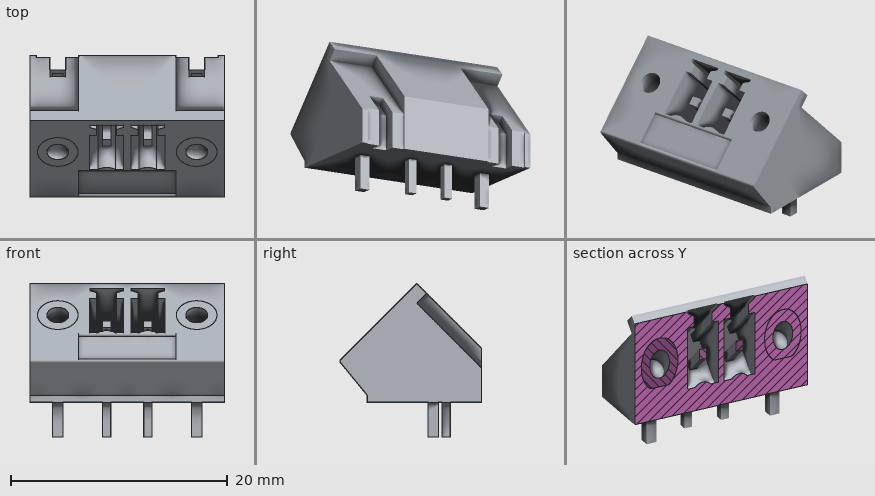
import cadquery as cq
import math


WIDTH = 18.01
HEIGHT = 11.0
REAR_Y = 3.28
REAR_HEIGHT = 5.0
FOOT_FRONT_Y = -7.3
FOOT_HEIGHT = 0.66
FACE_LENGTH = 10.14
EDGE_RADIUS = 0.2
SIN45 = math.sqrt(0.5)
RIDGE_Y = REAR_Y - (HEIGHT - REAR_HEIGHT)

CENTRE_WIDTH = 9.0
FLANGE_WIDTH = (WIDTH - CENTRE_WIDTH) / 2
FLANGE_CENTRE = (CENTRE_WIDTH + FLANGE_WIDTH) / 2
FLANGE_X = 6.415
FLANGE_DROP = 1.28
RIDGE_LAND = 1.3
END_WALL = 0.6
REAR_RELIEF = 0.2
NOTCH_WIDTH = 1.46
NOTCH_START = 7.0
NOTCH_STEP = 8.77
NOTCH_FLOOR = 2.17

PITCH = 3.81
CAVITY_DEPTH = 6.5
CAVITY_WIDTH = 3.16
HEAD_WIDTH = 3.1
NECK_WIDTH = 1.86
HEAD_TOP = 0.68
HEAD_SIDE_END = 0.93
HEAD_TAPER_END = 1.22
BODY_TOP = 2.0
CAVITY_BOTTOM = 6.44
RIB_WIDTH = 1.6
RIB_HEIGHT = 0.28

RECESS_START = 6.53

AXIS_DOWN = 4.14
PIN_LENGTH = 3.2
CONTACT_SIZE = 0.8
CONTACT_TIP_DEPTH = 1.2
NUT_DIAMETER = 3.75
NUT_LENGTH = 5.0
SCREW_HOLE_DIAMETER = 2.0
FIXING_PIN_SIZE = 1.0
FIXING_PIN_Y = -1.19
FIXING_PIN_LEG_DEPTH = 7.81

POLE_X = [-PITCH / 2, PITCH / 2]
SIDES = [-1, 1]


def side_point(down, depth):
    """(Y, Z) of a point given by distance down the mating face and depth into it."""
    return (RIDGE_Y + (depth - down) * SIN45, HEIGHT - (depth + down) * SIN45)


def face_plane(x):
    """Plane on the mating face: local X is X, local Y runs up the slope, origin on the ridge."""
    return cq.Plane(origin=(x, RIDGE_Y, HEIGHT), xDir=(1, 0, 0), normal=(0, -1, 1))


def side_prism(outline, x_centre, width):
    """Prism along X from a closed list of (Y, Z) points."""
    prism = cq.Workplane("YZ").polyline(outline).close().extrude(width / 2, both=True)
    return prism.translate((x_centre, 0, 0))


def make_wedge(recessed, x_centre, width):
    """Slice of the housing wedge; a recessed slice has its mating face set back behind a round lip."""
    nose_y, nose_z = side_point(FACE_LENGTH, 0)
    undercut_angle = math.atan2(nose_z - FOOT_HEIGHT, FOOT_FRONT_Y - nose_y)
    half_angle = (math.radians(45) + undercut_angle) / 2
    tangent_length = EDGE_RADIUS / math.tan(half_angle)
    lower_tangent = (
        nose_y + tangent_length * math.cos(undercut_angle),
        nose_z - tangent_length * math.sin(undercut_angle),
    )
    round_down = FACE_LENGTH - tangent_length
    round_y, round_z = side_point(round_down, EDGE_RADIUS)
    nose_scale = EDGE_RADIUS / math.hypot(nose_y - round_y, nose_z - round_z)
    nose_tip = (
        round_y + (nose_y - round_y) * nose_scale,
        round_z + (nose_z - round_z) * nose_scale,
    )
    outline = (
        cq.Workplane("YZ")
        .moveTo(REAR_Y, REAR_HEIGHT)
        .lineTo(REAR_Y, 0)
        .lineTo(FOOT_FRONT_Y, 0)
        .lineTo(FOOT_FRONT_Y, FOOT_HEIGHT)
        .lineTo(*lower_tangent)
    )
    if recessed:
        arc_down = EDGE_RADIUS * SIN45
        outline = (
            outline
            .threePointArc(nose_tip, side_point(round_down - EDGE_RADIUS, EDGE_RADIUS))
            .lineTo(*side_point(RECESS_START + EDGE_RADIUS, EDGE_RADIUS))
            .threePointArc(
                side_point(RECESS_START + arc_down, EDGE_RADIUS - arc_down),
                side_point(RECESS_START, 0),
            )
        )
    else:
        outline = outline.threePointArc(nose_tip, side_point(round_down, 0))
    wedge = outline.lineTo(RIDGE_Y, HEIGHT).close().extrude(width / 2, both=True)
    return wedge.translate((x_centre, 0, 0))


def make_envelope():
    """Outer wedge: a centre slice with the label recess between two plain flange slices."""
    envelope = make_wedge(True, 0, CENTRE_WIDTH)
    for side in SIDES:
        envelope = envelope.union(make_wedge(False, side * FLANGE_CENTRE, FLANGE_WIDTH))
    return envelope


def make_flange_cut(side):
    """Lowered rear slope, shallow rear relief and stepped pin notch of one flange."""
    drop_rear_depth = (REAR_Y - RIDGE_Y) / SIN45 + FLANGE_DROP
    drop = side_prism(
        [
            side_point(FLANGE_DROP, RIDGE_LAND),
            side_point(-FLANGE_DROP, RIDGE_LAND),
            side_point(-FLANGE_DROP, drop_rear_depth),
            side_point(FLANGE_DROP, drop_rear_depth),
        ],
        side * FLANGE_CENTRE,
        FLANGE_WIDTH,
    )
    relief_width = FLANGE_WIDTH - END_WALL
    relief = side_prism(
        [
            (REAR_Y, 0),
            (REAR_Y - REAR_RELIEF, 0),
            (REAR_Y - REAR_RELIEF, HEIGHT),
            (REAR_Y, HEIGHT),
        ],
        side * (CENTRE_WIDTH + relief_width) / 2,
        relief_width,
    )
    step_y, step_z = side_point(NOTCH_FLOOR, NOTCH_STEP)
    notch = side_prism(
        [
            side_point(0, NOTCH_START),
            side_point(NOTCH_FLOOR, NOTCH_START),
            (step_y, step_z),
            (step_y, 0),
            (REAR_Y, 0),
            (REAR_Y, HEIGHT),
        ],
        side * FLANGE_X,
        NOTCH_WIDTH,
    )
    return drop.union(relief).union(notch)


def make_cavity(x):
    """Keyed plug cavity: T-shaped top, wide body and a rounded rib along its floor."""
    half_body = CAVITY_WIDTH / 2
    half_head = HEAD_WIDTH / 2
    half_neck = NECK_WIDTH / 2
    half_rib = RIB_WIDTH / 2
    profile = (
        cq.Workplane(face_plane(x))
        .moveTo(-half_head, -HEAD_TOP)
        .lineTo(half_head, -HEAD_TOP)
        .lineTo(half_head, -HEAD_SIDE_END)
        .lineTo(half_neck, -HEAD_TAPER_END)
        .lineTo(half_neck, -BODY_TOP)
        .lineTo(half_body, -BODY_TOP)
        .lineTo(half_body, -CAVITY_BOTTOM)
        .lineTo(half_rib, -CAVITY_BOTTOM)
        .threePointArc((0, RIB_HEIGHT - CAVITY_BOTTOM), (-half_rib, -CAVITY_BOTTOM))
        .lineTo(-half_body, -CAVITY_BOTTOM)
        .lineTo(-half_body, -BODY_TOP)
        .lineTo(-half_neck, -BODY_TOP)
        .lineTo(-half_neck, -HEAD_TAPER_END)
        .lineTo(-half_head, -HEAD_SIDE_END)
        .close()
    )
    return profile.extrude(-CAVITY_DEPTH)


def make_pin(path_points, size, x):
    """Square pin, bent once, following a path of (Y, Z) points upward from its solder tip."""
    path = cq.Workplane("YZ").polyline(path_points)
    start_y, start_z = path_points[0]
    section = cq.Workplane("XY", origin=(0, start_y, start_z)).rect(size, size)
    return section.sweep(path, transition="right").translate((x, 0, 0))


def make_contact(x):
    """Contact with a vertical solder tail at Y = 0 and a sloped blade inside the cavity."""
    bend_depth = AXIS_DOWN - RIDGE_Y / SIN45
    path = [
        (0, -PIN_LENGTH),
        side_point(AXIS_DOWN, bend_depth),
        side_point(AXIS_DOWN, CONTACT_TIP_DEPTH),
    ]
    return make_pin(path, CONTACT_SIZE, x)


def make_fixing_pin(side):
    """Flange pin with a sloped upper leg that ends flush in the notch floor."""
    bend_down = FIXING_PIN_LEG_DEPTH - (FIXING_PIN_Y - RIDGE_Y) / SIN45
    path = [
        (FIXING_PIN_Y, -PIN_LENGTH),
        side_point(bend_down, FIXING_PIN_LEG_DEPTH),
        side_point(NOTCH_FLOOR, FIXING_PIN_LEG_DEPTH),
    ]
    return make_pin(path, FIXING_PIN_SIZE, side * FLANGE_X)


def make_nut_pocket(side):
    """Solid cylinder taken up by one flange nut."""
    axis = cq.Workplane(face_plane(side * FLANGE_X)).center(0, -AXIS_DOWN)
    return axis.circle(NUT_DIAMETER / 2).extrude(-NUT_LENGTH)


def make_flange_nut(side):
    """Round insert nut, flush with the mating face, with a through screw hole."""
    axis = cq.Workplane(face_plane(side * FLANGE_X)).center(0, -AXIS_DOWN)
    screw_hole = axis.circle(SCREW_HOLE_DIAMETER / 2).extrude(-NUT_LENGTH)
    return make_nut_pocket(side).cut(screw_hole)


def make_housing(pins):
    """Housing with flanges, label recess, cavities and fitted holes for all metal parts."""
    body = make_envelope()
    for side in SIDES:
        body = body.cut(make_flange_cut(side))
        body = body.cut(make_nut_pocket(side))
    for x in POLE_X:
        body = body.cut(make_cavity(x))
    for pin in pins:
        body = body.cut(pin)
    return body


contacts = [make_contact(x) for x in POLE_X]
fixing_pins = [make_fixing_pin(side) for side in SIDES]
flange_nuts = [make_flange_nut(side) for side in SIDES]
housing = make_housing(contacts + fixing_pins)

bodies = [housing] + contacts + fixing_pins + flange_nuts
result = cq.Compound.makeCompound([body.val() for body in bodies])